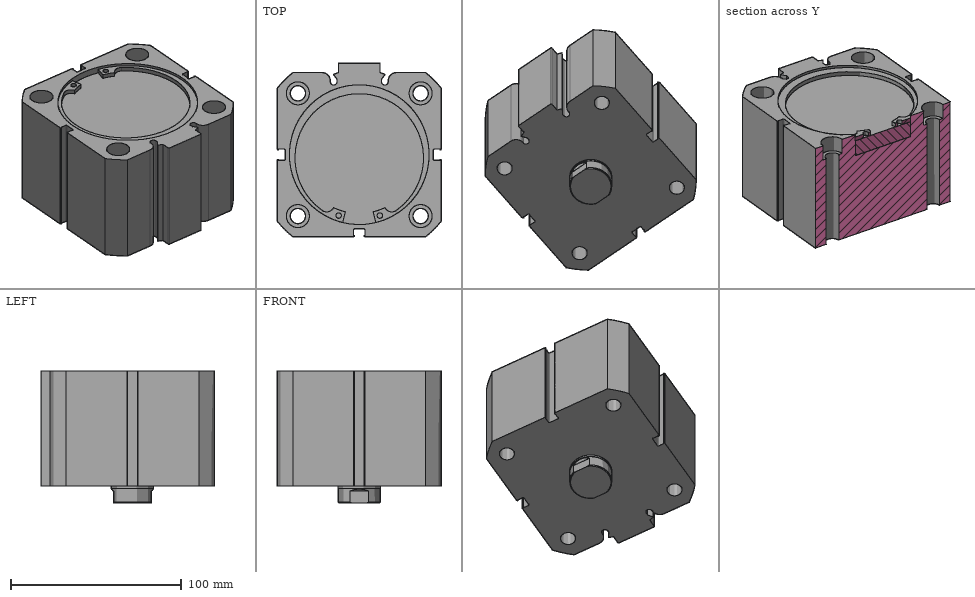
import cadquery as cq
import math


body_side = 96.5
body_height = 67.5
half_side = body_side / 2
corner_radius = 62.0

tongue_width = 24.6
tongue_top = 53.75
tongue_edge_radius = 0.5

pocket_center_x = 15.0
pocket_radius = 1.9
pocket_floor = 40.9
pocket_mouth_radius = 5.0
rail_tip_x = 15.2
rail_tip_y = 47.1
rail_neck_y = 44.2

slot_width = 6.5
slot_depth = 4.7
slot_mouth_width = 5.7
slot_lip = 0.8
slot_lip_chamfer = 0.4
slot_corner_radius = 0.4

mount_offset = 36.0
mount_hole_diameter = 8.8
mount_bore_diameter = 13.5
mount_bore_depth = 9.5

bore_radius = 41.0
ring_recess = 1.5
ring_thickness = 2.5
cover_thickness = 10.0
ring_top = body_height - ring_recess
cover_top = ring_top - ring_thickness
cover_bottom = cover_top - cover_thickness

ring_inner_radius = 37.7
ring_inner_shift = -1.9
ear_inner_radius = 34.5
ear_gap_angle = 13.7
ear_hole_diameter = 3.2
ear_hole_pitch_radius = 37.7
ear_hole_angle = 18.7
relief_radius = 4.5
relief_angle = 35.1

rod_diameter = 25.0
rod_protrusion = 10.0
rod_step_depth = 1.5
rod_tip_diameter = 24.7
rod_end_chamfer = 0.5
flat_spacing = 22.2
flat_shoulder_depth = 1.8


def polar(radius, angle):
    """Point at an angle from -Y, positive toward +X."""
    turn = math.radians(angle)
    return (radius * math.sin(turn), -radius * math.cos(turn))


def mirrored(point):
    """The same point on the other side of the YZ plane."""
    return (-point[0], point[1])


def sensor_slot():
    """Slot open toward -Y, with a chamfered mouth narrower than its inside."""
    face = -half_side
    floor = face + slot_depth
    inside = (
        cq.Workplane("XY")
        .center(0, (floor + face + slot_lip) / 2)
        .rect(slot_width, slot_depth - slot_lip)
        .extrude(body_height)
        .edges("|Z and >Y")
        .fillet(slot_corner_radius)
    )
    half_mouth = slot_mouth_width / 2
    half_entry = half_mouth + slot_lip_chamfer
    mouth = (
        cq.Workplane("XY")
        .polyline([
            (-half_entry, face),
            (-half_mouth, face + slot_lip_chamfer),
            (-half_mouth, face + slot_lip),
            (half_mouth, face + slot_lip),
            (half_mouth, face + slot_lip_chamfer),
            (half_entry, face),
        ])
        .close()
        .extrude(body_height)
    )
    return inside.union(mouth)


def rail_pocket():
    """Undercut pocket between the tongue and the +X shoulder of the housing."""
    inner_wall = pocket_center_x - pocket_radius
    outer_wall = pocket_center_x + pocket_radius
    round_center_y = pocket_floor + pocket_radius
    mouth_start_y = half_side - pocket_mouth_radius
    mouth_end_x = outer_wall + pocket_mouth_radius
    mouth_middle = (
        mouth_end_x - pocket_mouth_radius * math.sqrt(0.5),
        mouth_start_y + pocket_mouth_radius * math.sqrt(0.5),
    )
    return (
        cq.Workplane("XY")
        .moveTo(tongue_width / 2, half_side)
        .lineTo(rail_tip_x, rail_tip_y)
        .lineTo(inner_wall, rail_neck_y)
        .lineTo(inner_wall, round_center_y)
        .threePointArc((pocket_center_x, pocket_floor), (outer_wall, round_center_y))
        .lineTo(outer_wall, mouth_start_y)
        .threePointArc(mouth_middle, (mouth_end_x, half_side))
        .close()
        .extrude(body_height)
    )


def make_housing():
    corner_turning = cq.Workplane("XY").circle(corner_radius).extrude(body_height)
    block = cq.Workplane("XY").rect(body_side, body_side).extrude(body_height).intersect(corner_turning)
    tongue = (
        cq.Workplane("XY")
        .center(0, tongue_top / 2)
        .rect(tongue_width, tongue_top)
        .extrude(body_height)
        .edges("|Z and >Y")
        .fillet(tongue_edge_radius)
    )
    body = block.union(tongue)

    pocket = rail_pocket()
    body = body.cut(pocket).cut(pocket.mirror("YZ"))

    for turn in (-90, 0, 90):
        body = body.cut(sensor_slot().rotate((0, 0, 0), (0, 0, 1), turn))

    body = (
        body.faces(">Z")
        .workplane(origin=(0, 0, body_height))
        .rect(2 * mount_offset, 2 * mount_offset, forConstruction=True)
        .vertices()
        .cboreHole(mount_hole_diameter, mount_bore_diameter, mount_bore_depth)
    )

    cover_seat = (
        cq.Workplane("XY", origin=(0, 0, cover_bottom))
        .circle(bore_radius)
        .extrude(body_height - cover_bottom)
    )
    rod_hole = cq.Workplane("XY").circle(rod_diameter / 2).extrude(cover_bottom)
    return body.cut(cover_seat).cut(rod_hole)


def make_cover():
    return cq.Workplane("XY", origin=(0, 0, cover_bottom)).circle(bore_radius).extrude(cover_thickness)


def make_retaining_ring():
    """Eccentric ring with a gap toward -Y and a drilled ear on each side of it."""
    relief_x, relief_rise = polar(ring_inner_radius - relief_radius, relief_angle)
    relief_y = relief_rise + ring_inner_shift
    relief_reach = math.hypot(relief_x, relief_y)
    relief_bearing = math.degrees(math.atan2(relief_x, -relief_y))
    corner_swing = math.acos(
        (relief_reach**2 + ear_inner_radius**2 - relief_radius**2) / (2 * relief_reach * ear_inner_radius)
    )
    ear_corner_angle = relief_bearing - math.degrees(corner_swing)

    gap_outer = polar(bore_radius, ear_gap_angle)
    ear_tip = polar(ear_inner_radius, ear_gap_angle)
    ear_face_middle = polar(ear_inner_radius, (ear_gap_angle + ear_corner_angle) / 2)
    ear_corner = polar(ear_inner_radius, ear_corner_angle)
    relief_bottom = (relief_x, relief_y - relief_radius)
    touch_x, touch_rise = polar(ring_inner_radius, relief_angle)
    relief_touch = (touch_x, touch_rise + ring_inner_shift)

    ring = (
        cq.Workplane("XY", origin=(0, 0, cover_top))
        .moveTo(*gap_outer)
        .lineTo(*ear_tip)
        .threePointArc(ear_face_middle, ear_corner)
        .threePointArc(relief_bottom, relief_touch)
        .threePointArc((0, ring_inner_radius + ring_inner_shift), mirrored(relief_touch))
        .threePointArc(mirrored(relief_bottom), mirrored(ear_corner))
        .threePointArc(mirrored(ear_face_middle), mirrored(ear_tip))
        .lineTo(*mirrored(gap_outer))
        .threePointArc((0, bore_radius), gap_outer)
        .close()
        .extrude(ring_thickness)
    )

    hole_center = polar(ear_hole_pitch_radius, ear_hole_angle)
    ear_holes = (
        cq.Workplane("XY", origin=(0, 0, cover_top))
        .pushPoints([hole_center, mirrored(hole_center)])
        .circle(ear_hole_diameter / 2)
        .extrude(ring_thickness)
    )
    return ring.cut(ear_holes)


def make_rod():
    tip = (
        cq.Workplane("XY", origin=(0, 0, -rod_protrusion))
        .circle(rod_tip_diameter / 2)
        .extrude(rod_protrusion - rod_step_depth)
        .faces("<Z")
        .chamfer(rod_end_chamfer)
    )
    shank = (
        cq.Workplane("XY", origin=(0, 0, -rod_step_depth))
        .circle(rod_diameter / 2)
        .extrude(rod_step_depth + cover_bottom)
    )
    rod = shank.union(tip)

    tip_radius = rod_tip_diameter / 2
    half_flat = flat_spacing / 2
    flat_depth = tip_radius - half_flat
    flat_cut = (
        cq.Workplane("YZ")
        .polyline([
            (half_flat, -rod_protrusion),
            (half_flat, -flat_shoulder_depth - flat_depth),
            (tip_radius, -flat_shoulder_depth),
            (tip_radius, -rod_protrusion),
        ])
        .close()
        .extrude(tip_radius, both=True)
    )
    return rod.cut(flat_cut).cut(flat_cut.mirror("XZ"))


housing = make_housing()
cover = make_cover()
retaining_ring = make_retaining_ring()
rod = make_rod()

result = cq.Compound.makeCompound([
    housing.val(),
    cover.val(),
    retaining_ring.val(),
    rod.val(),
])